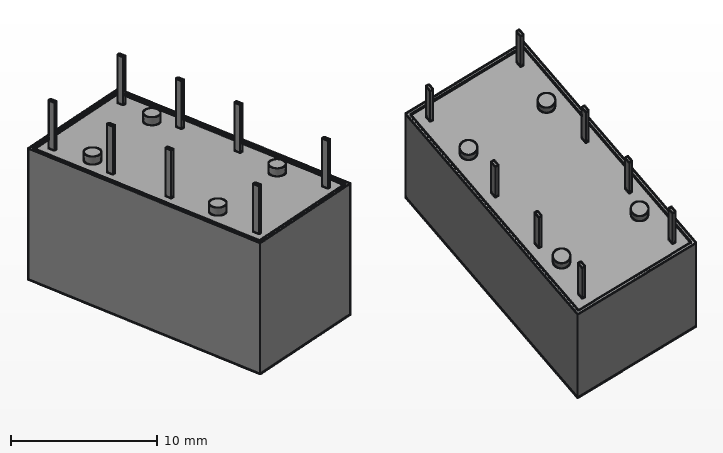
import cadquery as cq

body_length = 20.2
body_width = 10.0
total_height = 14.2
pin_rise = 3.7
body_height = total_height - pin_rise

rim_thickness = 0.25
recess_depth = 0.15
floor_z = body_height - recess_depth

pin_pitch = 2.55
pin_grid_steps = (0, 2, 4, 7)
row_spacing = 3 * pin_pitch
pin_width = 0.5
pin_thickness = 0.25

peg_diameter = 1.21
peg_rise = 0.5
peg_left_x = -5.84
peg_right_x = 5.07
peg_row_spacing = 6.59


def make_body():
    """Block centred on the Z axis with a recessed top face."""
    block = cq.Workplane("XY").box(body_length, body_width, body_height, centered=(True, True, False))
    recess = (
        cq.Workplane("XY")
        .workplane(offset=floor_z)
        .rect(body_length - 2 * rim_thickness, body_width - 2 * rim_thickness)
        .extrude(recess_depth)
    )
    return block.cut(recess)


def make_pins():
    """Two matching rows of rectangular pins standing on the recess floor."""
    first_x = -pin_grid_steps[-1] * pin_pitch / 2
    positions = [
        (first_x + step * pin_pitch, side * row_spacing / 2)
        for step in pin_grid_steps
        for side in (-1, 1)
    ]
    return (
        cq.Workplane("XY")
        .workplane(offset=floor_z)
        .pushPoints(positions)
        .rect(pin_width, pin_thickness)
        .extrude(recess_depth + pin_rise)
    )


def make_pegs():
    """Four round pegs standing on the recess floor."""
    positions = [(x, side * peg_row_spacing / 2) for x in (peg_left_x, peg_right_x) for side in (-1, 1)]
    return (
        cq.Workplane("XY")
        .workplane(offset=floor_z)
        .pushPoints(positions)
        .circle(peg_diameter / 2)
        .extrude(recess_depth + peg_rise)
    )


result = make_body().union(make_pins()).union(make_pegs())